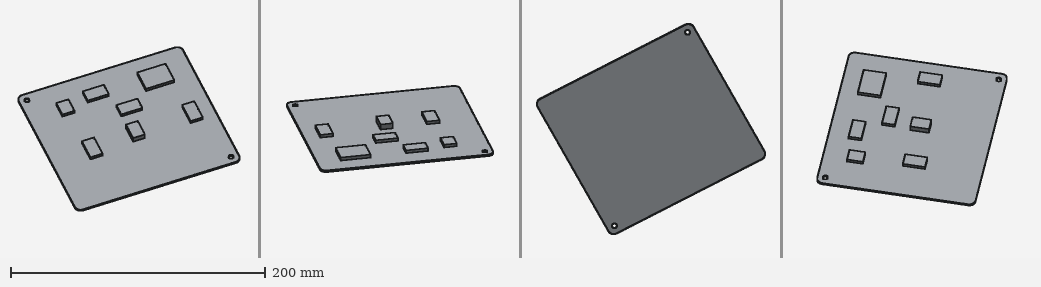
import cadquery as cq

BOARD_X = 127.0
BOARD_Y = 139.7
BOARD_THICKNESS = 1.58
CORNER_RADIUS = 5.0

HOLE_DIAMETER = 4.0
HOLE_INSET = 6.35

PACKAGE_WIDTH = 10.3
PACKAGE_HEIGHT = 2.45
LONG_PACKAGE_LENGTH = 17.9
SHORT_PACKAGE_LENGTH = 12.8

LONG_PACKAGES_ALONG_X = [(67.8, 122.0), (72.7, 34.9)]
LONG_PACKAGES_ALONG_Y = [(44.7, 77.8), (21.6, 58.7)]
SHORT_PACKAGE_CENTRE = (26.2, 31.0)

MODULE_X = 18.2
MODULE_Y = 24.0
MODULE_HEIGHT = 2.7
MODULE_CENTRE = (23.9, 108.7)

BLOCK_X = 15.0
BLOCK_Y = 10.0
BLOCK_HEIGHT = 4.5
BLOCK_CENTRE = (70.0, 72.7)


def make_board():
    """Flat plate with rounded corners and two through holes on a diagonal."""
    plate = (
        cq.Workplane("XY")
        .box(BOARD_X, BOARD_Y, BOARD_THICKNESS, centered=False)
        .edges("|Z")
        .fillet(CORNER_RADIUS)
    )
    hole_centres = [
        (HOLE_INSET, HOLE_INSET),
        (BOARD_X - HOLE_INSET, BOARD_Y - HOLE_INSET),
    ]
    holes = (
        cq.Workplane("XY")
        .pushPoints(hole_centres)
        .circle(HOLE_DIAMETER / 2)
        .extrude(BOARD_THICKNESS)
    )
    return plate.cut(holes)


def make_component(centre, size_x, size_y, height):
    """Rectangular component standing on the top face of the board."""
    return (
        cq.Workplane("XY", origin=(*centre, BOARD_THICKNESS))
        .rect(size_x, size_y)
        .extrude(height)
    )


board = make_board()

long_packages = []
for centre in LONG_PACKAGES_ALONG_X:
    long_packages.append(make_component(centre, LONG_PACKAGE_LENGTH, PACKAGE_WIDTH, PACKAGE_HEIGHT))
for centre in LONG_PACKAGES_ALONG_Y:
    long_packages.append(make_component(centre, PACKAGE_WIDTH, LONG_PACKAGE_LENGTH, PACKAGE_HEIGHT))

short_package = make_component(
    SHORT_PACKAGE_CENTRE, SHORT_PACKAGE_LENGTH, PACKAGE_WIDTH, PACKAGE_HEIGHT
)
module = make_component(MODULE_CENTRE, MODULE_X, MODULE_Y, MODULE_HEIGHT)
block = make_component(BLOCK_CENTRE, BLOCK_X, BLOCK_Y, BLOCK_HEIGHT)

result = cq.Compound.makeCompound([
    board.val(),
    *[package.val() for package in long_packages],
    short_package.val(),
    module.val(),
    block.val(),
])